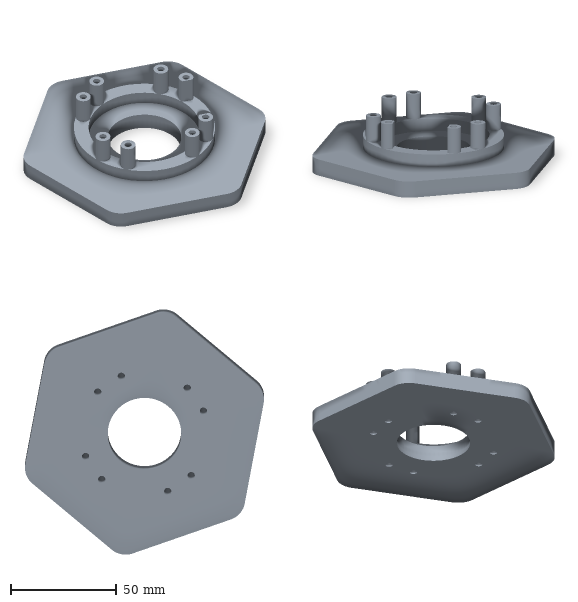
import cadquery as cq
import math

corner_span = 119.3
corner_radius = 10.0
plate_thickness = 8.0
bore_diameter = 35.0

ring_outer_diameter = 67.2
ring_inner_diameter = 53.2
ring_height = 6.1

post_diameter = 7.0
post_hole_diameter = 3.5
post_height = 12.4
post_pair_half_angle = 13.0
flat_offset = 2.5

corner_loss = corner_radius * (1 / math.cos(math.radians(30)) - 1)
sharp_corner_span = corner_span + 2 * corner_loss

ring_top = plate_thickness + ring_height
post_circle_radius = (ring_outer_diameter + ring_inner_diameter) / 4
post_angles = [
    diagonal + side * post_pair_half_angle
    for diagonal in (45, 135, 225, 315)
    for side in (-1, 1)
]
post_centers = [
    (
        post_circle_radius * math.cos(math.radians(angle)),
        post_circle_radius * math.sin(math.radians(angle)),
    )
    for angle in post_angles
]


def drill_post_holes(body):
    """Continue the post bores through a body underneath the posts."""
    drills = (
        cq.Workplane("XY")
        .pushPoints(post_centers)
        .circle(post_hole_diameter / 2)
        .extrude(ring_top)
    )
    return body.cut(drills)


def make_plate():
    """Rounded hexagon with two sides parallel to Y and a central bore."""
    blank = (
        cq.Workplane("XY")
        .transformed(rotate=(0, 0, 90))
        .polygon(6, sharp_corner_span)
        .extrude(plate_thickness)
        .edges("|Z")
        .fillet(corner_radius)
    )
    bored = blank.faces(">Z").workplane(origin=(0, 0, 0)).hole(bore_diameter)
    return drill_post_holes(bored)


def make_ring():
    ring = (
        cq.Workplane("XY", origin=(0, 0, plate_thickness))
        .circle(ring_outer_diameter / 2)
        .circle(ring_inner_diameter / 2)
        .extrude(ring_height)
    )
    return drill_post_holes(ring)


def make_post(x, y, has_flat):
    """Tubular post, optionally with a flat facing the YZ plane."""
    base = cq.Workplane("XY", origin=(x, y, ring_top))
    post = base.circle(post_diameter / 2).circle(post_hole_diameter / 2).extrude(post_height)
    if has_flat:
        toward_center = -math.copysign(1, x)
        flat_cutter = base.center(toward_center * (flat_offset + post_diameter / 2), 0)
        post = post.cut(flat_cutter.rect(post_diameter, 2 * post_diameter).extrude(post_height))
    return post


plate = make_plate()
ring = make_ring()

farthest_y = max(y for _, y in post_centers)
posts = [make_post(x, y, math.isclose(y, farthest_y)) for x, y in post_centers]

result = cq.Compound.makeCompound([plate.val(), ring.val(), *[post.val() for post in posts]])